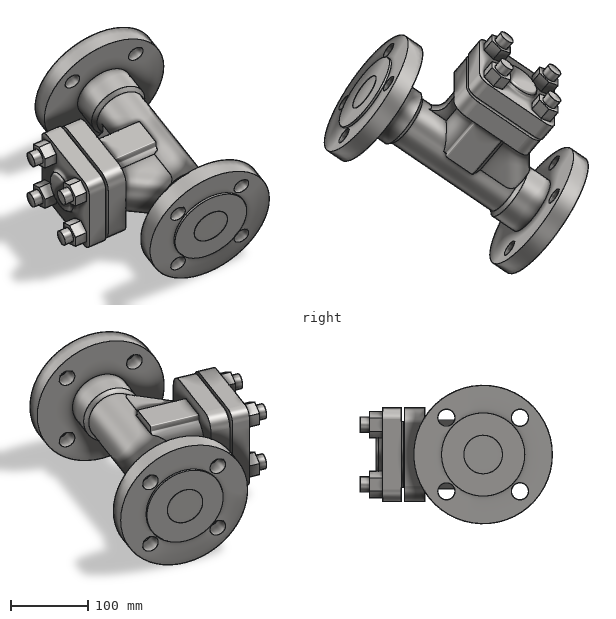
import cadquery as cq
import math

overall_length = 300.0
half_length = overall_length / 2
raised_face_dia = 108.0
raised_face_height = 3.0
port_recess_dia = 50.0
port_recess_depth = 0.3
flange_dia = 180.0
flange_thickness = 24.0
hub_dia = 80.0
hub_length = 36.0
pipe_dia = 70.0
pipe_radius = pipe_dia / 2
hub_taper = (hub_dia - pipe_dia) / 2
flange_bolt_circle = 135.0
flange_hole_dia = 22.0

bonnet_back = 75.5
bonnet_thickness = 26.7
joint_face_height = 1.0
spigot_height = 3.0
cover_thickness = 24.3
bonnet_front = bonnet_back + bonnet_thickness
joint_plane = bonnet_front + joint_face_height
cover_back = joint_plane + spigot_height
cover_front = cover_back + cover_thickness

plate_side = 122.0
bonnet_corner_radius = 20.0
cover_corner_radius = 15.0
neck_dia = 86.0
neck_radius = neck_dia / 2

neck_start = 7.2
pad_width = 43.8
pad_height = 90.0
pad_fillet = 2.0

rib_thickness = 15.5
rib_reach = 55.0
rib_arc_radius = 18.0
rib_top = 34.0

branch_radius = 32.0
branch_angle = 52.0
branch_axis_start = 79.5

stud_spacing = 77.7
stud_dia = 20.0
stud_projection = 12.3
nut_flats = 30.0
nut_height = 17.0
boss_base_radius = 35.0
boss_waist_radius = 29.7
boss_shoulder_radius = 27.5
boss_top_radius = 23.5
boss_waist_height = 2.0
boss_shoulder_height = 5.0
boss_height = 8.7


def facing_front(distance):
    """Workplane at the given distance from the pipe axis; extrudes toward -Y."""
    return cq.Workplane("XZ", origin=(0, -distance, 0))


def square_plate(distance, thickness, corner_radius):
    plate = facing_front(distance).rect(plate_side, plate_side).extrude(thickness)
    return plate.edges("|Y").fillet(corner_radius)


def make_pipe_run():
    """Pipe with a stepped hub, flange and raised face at each end."""
    flange_front = half_length - raised_face_height
    flange_back = flange_front - flange_thickness
    hub_end = flange_back - hub_length
    half_profile = [
        (0, 0),
        (0, pipe_radius),
        (hub_end - hub_taper, pipe_radius),
        (hub_end, hub_dia / 2),
        (flange_back, hub_dia / 2),
        (flange_back, flange_dia / 2),
        (flange_front, flange_dia / 2),
        (flange_front, raised_face_dia / 2),
        (half_length, raised_face_dia / 2),
        (half_length, port_recess_dia / 2),
        (half_length - port_recess_depth, port_recess_dia / 2),
        (half_length - port_recess_depth, 0),
    ]
    half = cq.Workplane("XY").polyline(half_profile).close().revolve(360, (0, 0, 0), (1, 0, 0))
    hole_spacing = flange_bolt_circle / math.sqrt(2)
    holes = (
        cq.Workplane("YZ", origin=(flange_back, 0, 0))
        .rect(hole_spacing, hole_spacing, forConstruction=True)
        .vertices()
        .circle(flange_hole_dia / 2)
        .extrude(flange_thickness)
    )
    half = half.cut(holes)
    return half.union(half.mirror("YZ"))


def make_neck():
    """Round neck merged with the pads, blended by fillets along Y."""
    neck_length = bonnet_back - neck_start
    pad = facing_front(neck_start).rect(pad_width, pad_height).extrude(neck_length)
    pad = pad.edges("|Y").fillet(pad_fillet)
    neck = facing_front(neck_start).circle(neck_radius).extrude(neck_length).union(pad)
    corner_z = math.sqrt(neck_radius**2 - (pad_width / 2) ** 2)
    for x in (-pad_width / 2, pad_width / 2):
        for z in (-corner_z, corner_z):
            corner = cq.selectors.NearestToPointSelector((x, -(neck_start + bonnet_back) / 2, z))
            neck = neck.edges("|Y").edges(corner).fillet(pad_fillet)
    return neck


def make_rib():
    """Flat web whose outer edge curves into the underside of the pipe."""
    arc_mid = rib_arc_radius * (1 - math.sqrt(0.5))
    return (
        cq.Workplane("XY")
        .moveTo(0, 0)
        .lineTo(-rib_reach - rib_arc_radius, 0)
        .lineTo(-rib_reach - rib_arc_radius, -rib_top)
        .threePointArc(
            (-rib_reach - arc_mid, -rib_top - arc_mid),
            (-rib_reach, -rib_top - rib_arc_radius),
        )
        .lineTo(-rib_reach, -bonnet_back)
        .lineTo(0, -bonnet_back)
        .close()
        .extrude(rib_thickness / 2, both=True)
    )


def make_branch():
    """Slanted round branch, filled in between its axis and the neck."""
    slant = math.radians(branch_angle)
    downhill = cq.Vector(-math.cos(slant), -math.sin(slant), 0)
    length_to_neck_axis = branch_axis_start / math.cos(slant)
    tube = cq.Workplane(
        cq.Solid.makeCylinder(
            branch_radius, length_to_neck_axis, cq.Vector(branch_axis_start, 0, 0), downhill
        )
    )
    infill_depth = branch_axis_start * math.tan(slant)
    infill = (
        cq.Workplane("XY")
        .polyline([(0, 0), (branch_axis_start, 0), (0, -infill_depth)])
        .close()
        .extrude(branch_radius, both=True)
    )
    stretch = facing_front(-branch_radius).rect(overall_length, 2 * branch_radius)
    pipe_to_bonnet = stretch.extrude(branch_radius + bonnet_back)
    return infill.union(tube).intersect(pipe_to_bonnet)


def make_housing():
    bonnet = square_plate(bonnet_back, bonnet_thickness, bonnet_corner_radius)
    joint_face = facing_front(bonnet_front).circle(neck_radius).extrude(joint_face_height)
    housing = make_pipe_run()
    for part in (make_neck(), make_rib(), make_branch(), bonnet, joint_face):
        housing = housing.union(part)
    return housing


def make_boss():
    """Low round boss: concave foot, conical flank and rounded rim."""
    foot_rise = math.atan2(boss_waist_height, boss_base_radius - boss_waist_radius)
    rim_rise = math.atan2(boss_height - boss_shoulder_height, boss_shoulder_radius - boss_top_radius)
    foot_radius = boss_waist_height / (2 * math.sin(foot_rise) ** 2)
    rim_radius = (boss_height - boss_shoulder_height) / (2 * math.sin(rim_rise) ** 2)
    foot_mid = (
        boss_base_radius - foot_radius * math.sin(foot_rise),
        -cover_front - foot_radius * (1 - math.cos(foot_rise)),
    )
    rim_mid = (
        boss_top_radius + rim_radius * math.sin(rim_rise),
        -cover_front - boss_height + rim_radius * (1 - math.cos(rim_rise)),
    )
    return (
        cq.Workplane("XY")
        .moveTo(0, -cover_front)
        .lineTo(boss_base_radius, -cover_front)
        .threePointArc(foot_mid, (boss_waist_radius, -cover_front - boss_waist_height))
        .lineTo(boss_shoulder_radius, -cover_front - boss_shoulder_height)
        .threePointArc(rim_mid, (boss_top_radius, -cover_front - boss_height))
        .lineTo(0, -cover_front - boss_height)
        .close()
        .revolve(360, (0, 0, 0), (0, 1, 0))
    )


def make_nut_and_stud(x, z):
    """Hexagon nut with points up and down, and the stud end beyond it."""
    point_dia = nut_flats / math.cos(math.pi / 6)
    nut = facing_front(cover_front).polygon(6, point_dia).extrude(nut_height)
    nut = nut.rotate((0, 0, 0), (0, 1, 0), 90)
    stud = facing_front(cover_front).circle(stud_dia / 2).extrude(nut_height + stud_projection)
    return nut.union(stud).translate((x, 0, z))


def make_cover():
    spigot = facing_front(joint_plane).circle(neck_radius).extrude(spigot_height)
    cover = square_plate(cover_back, cover_thickness, cover_corner_radius)
    cover = cover.union(spigot).union(make_boss())
    for x in (-stud_spacing / 2, stud_spacing / 2):
        for z in (-stud_spacing / 2, stud_spacing / 2):
            cover = cover.union(make_nut_and_stud(x, z))
    return cover


housing = make_housing()
cover = make_cover()
result = cq.Compound.makeCompound([housing.val(), cover.val()])